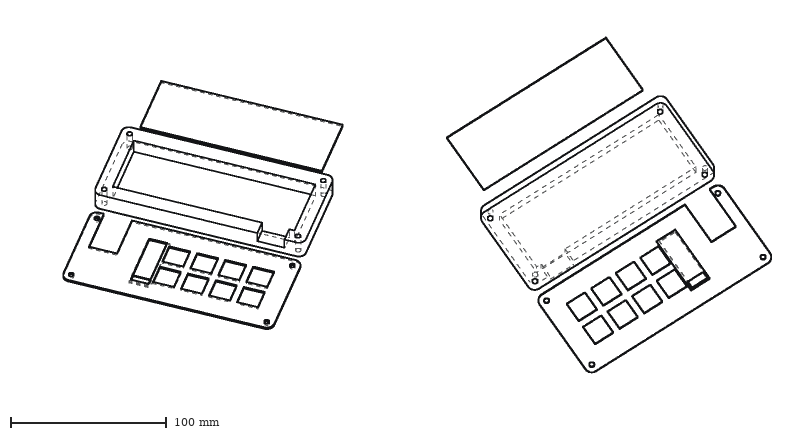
import cadquery as cq

sheet_thickness = 1.5
corner_radius = 5.0
screw_diameter = 3.3

case_length = 142.5
case_width = 63.1
case_height = 13.0
case_front = 67.2
case_screw_inset = 5.8

pocket_length = 122.9
pocket_width = 42.9
pocket_depth = 10.4
pocket_left = 10.2
front_wall = 9.7
pocket_front = case_front + front_wall

cable_notch_length = 18.4
cable_notch_left = 111.2
cable_notch_depth = 7.6

lid_left = 6.9
lid_back = 185.6

panel_length = 142.5
panel_width = 62.7
panel_left = 0.7
panel_screw_inset = 5.2

panel_notch_length = 19.0
panel_notch_depth = 30.6
panel_notch_left = 9.0

key_size = 14.1
key_pitch = 19.0
key_columns = 4
key_rows = 2
keys_left = 57.7
keys_front = 15.5

display_length = 12.0
display_width = 38.0
display_left = 43.5
display_front = 13.0

shelf_thickness = 1.0
shelf_length = 14.5
shelf_width = 40.1
shelf_left = 42.3
shelf_front = 12.3
wire_opening_width = 5.4


def block(left, front, bottom, length, width, height):
    """Box placed by its left, front, bottom corner."""
    return cq.Workplane("XY").box(length, width, height, centered=False).translate((left, front, bottom))


def rounded_plate(left, front, length, width, height, screw_inset):
    """Plate on z = 0 with round corners and a through screw hole in each corner."""
    plate = block(left, front, 0, length, width, height).edges("|Z").fillet(corner_radius)
    return (
        plate.faces(">Z")
        .workplane(origin=(left + length / 2, front + width / 2, height))
        .rect(length - 2 * screw_inset, width - 2 * screw_inset, forConstruction=True)
        .vertices()
        .hole(screw_diameter)
    )


def make_lid():
    return block(lid_left, lid_back - pocket_width, 0, pocket_length, pocket_width, sheet_thickness)


def make_case():
    case = rounded_plate(0, case_front, case_length, case_width, case_height, case_screw_inset)
    pocket = block(pocket_left, pocket_front, case_height - pocket_depth,
                   pocket_length, pocket_width, pocket_depth)
    cable_notch = block(cable_notch_left, case_front, case_height - cable_notch_depth,
                        cable_notch_length, front_wall, cable_notch_depth)
    return case.cut(pocket).cut(cable_notch)


def make_panel():
    panel = rounded_plate(panel_left, 0, panel_length, panel_width, sheet_thickness, panel_screw_inset)
    back_notch = block(panel_notch_left, panel_width - panel_notch_depth, 0,
                       panel_notch_length, panel_notch_depth, sheet_thickness)
    panel = panel.cut(back_notch)
    for column in range(key_columns):
        for row in range(key_rows):
            key_left = keys_left + column * key_pitch
            key_front = keys_front + row * key_pitch
            panel = panel.cut(block(key_left, key_front, 0, key_size, key_size, sheet_thickness))
    display_slot = block(display_left, display_front, 0,
                         display_length, display_width, sheet_thickness)
    return panel.cut(display_slot)


def make_display_shelf():
    """Shelf touching the panel's underside, with the wire opening at the front end of the slot."""
    shelf = block(shelf_left, shelf_front, -shelf_thickness, shelf_length, shelf_width, shelf_thickness)
    wire_opening = block(display_left, display_front, -shelf_thickness,
                         display_length, wire_opening_width, shelf_thickness)
    return shelf.cut(wire_opening)


lid = make_lid()
case = make_case()
panel = make_panel()
display_shelf = make_display_shelf()

result = cq.Compound.makeCompound([lid.val(), case.val(), panel.val(), display_shelf.val()])